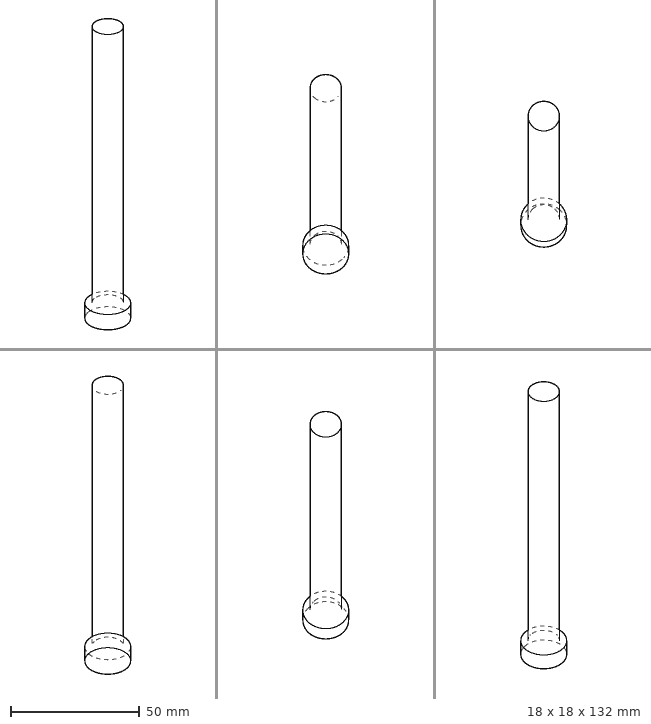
import cadquery as cq

total_length = 132.0
head_diameter = 18.0
head_height = 7.0
shaft_diameter = 12.3
neck_fillet = 0.2

head = cq.Workplane("XY").circle(head_diameter / 2).extrude(head_height)

shaft = cq.Workplane("XY").circle(shaft_diameter / 2).extrude(total_length)

pin = head.union(shaft)
neck_edge = pin.faces("<Z[1]").edges(cq.selectors.RadiusNthSelector(0))
result = neck_edge.fillet(neck_fillet)